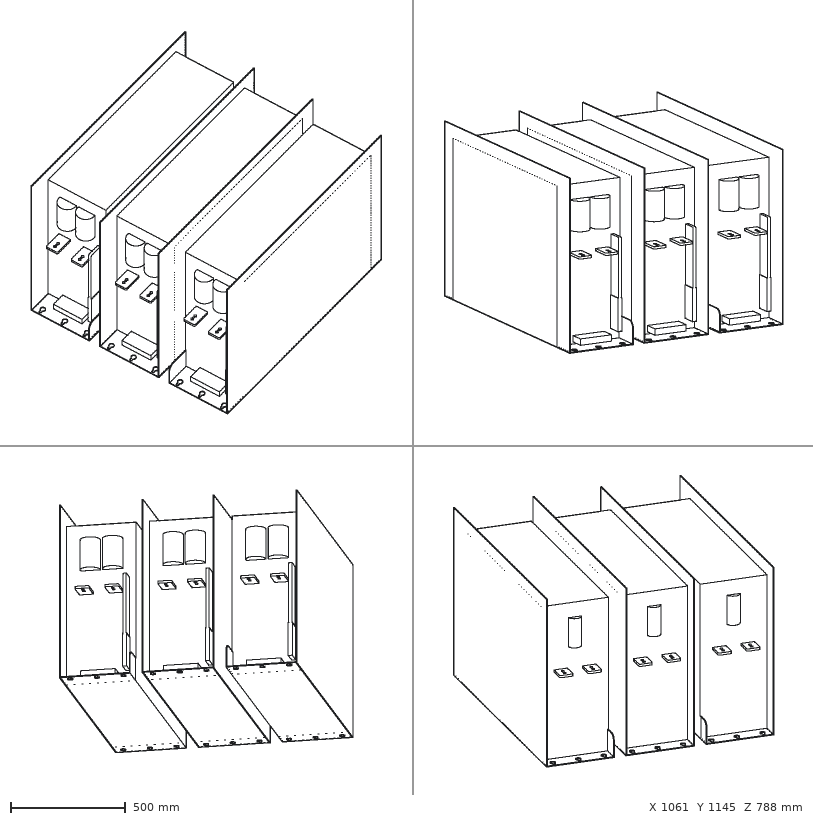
import cadquery as cq
length = 1145.0
panel_height = 788.0
panel_thickness = 5.0
module_width = 311.0
module_pitch = 370.0

half_length = length / 2
half_width = module_width / 2
floor_z = -panel_height / 2

housing_height = 726.0
housing_front_y = -450.0
housing_rear_y = 499.0

sheet = 4.0
flange_height = 105.0
flange_corner_radius = 30.0

keyhole_spacing = 119.0
keyhole_inset = 33.0
keyhole_diameter = 23.0
keyhole_slot_width = 10.0
keyhole_slot_reach = 25.0

capacitor_radius = 45.0
capacitor_offset = 2.0
capacitor_spacing = 100.0
capacitor_bottom = 519.0
capacitor_height = 137.0
capacitor_protrusion = 52.0
rear_post_radius = 33.0
rear_post_protrusion = 22.0

tab_spacing = 133.0
tab_width = 62.0
tab_top = 420.0
tab_thickness = 10.0
front_tab_reach = 96.0
rear_tab_reach = 72.0
tab_corner_radius = 7.0
tab_hole_diameter = 11.0
tab_hole_pitch = 23.0
tab_hole_inset = 24.0
tab_neck_width = 6.0

rail_x = 119.0
rail_reach = 69.0
bar_width = 14.0
bar_top = 476.0
bar_corner_radius = 7.0
foot_width = 18.0
foot_top = 203.0
foot_bottom = 52.0

connector_width = 155.0
connector_bottom = 14.0
connector_top = 42.0
connector_reach = 69.0


def block(x_range, y_range, z_range):
    """Box between two limits on each axis; the Z limits are heights above the floor's underside."""
    (x0, x1), (y0, y1), (z0, z1) = x_range, y_range, z_range
    return cq.Workplane("XY").box(x1 - x0, y1 - y0, z1 - z0, centered=False).translate((x0, y0, floor_z + z0))


def centred(middle, size):
    return (middle - size / 2, middle + size / 2)


def upright_cylinder(x, y, radius, bottom, height):
    return cq.Workplane("XY").center(x, y).circle(radius).extrude(height).translate((0, 0, floor_z + bottom))


def make_housing():
    return block((-half_width, half_width), (housing_front_y, housing_rear_y), (0, housing_height))


def make_floor():
    return block((-half_width, half_width), (-half_length, half_length), (0, sheet))


def make_flange(side):
    """Side flange along the whole floor, with its upper end corners rounded."""
    x_range = (-half_width, sheet - half_width) if side < 0 else (half_width - sheet, half_width)
    flange = block(x_range, (-half_length, half_length), (0, flange_height))
    return flange.edges("|X and >Z").fillet(flange_corner_radius)


def make_keyhole(x, end):
    """Cutter for a keyhole whose round-ended slot points to the floor's front (-1) or rear (+1)."""
    round_y = end * (half_length - keyhole_inset)
    slot_round_y = round_y + end * (keyhole_slot_reach - keyhole_slot_width / 2)
    round_part = upright_cylinder(x, round_y, keyhole_diameter / 2, 0, sheet)
    slot_end = upright_cylinder(x, slot_round_y, keyhole_slot_width / 2, 0, sheet)
    slot = block(centred(x, keyhole_slot_width), sorted((round_y, slot_round_y)), (0, sheet))
    return round_part.union(slot).union(slot_end)


def make_tab(x, end):
    """Flat terminal tab reaching out of the housing's front (-1) or rear (+1), with two joined holes."""
    root_y, reach = (housing_front_y, front_tab_reach) if end < 0 else (housing_rear_y, rear_tab_reach)
    tip_y = root_y + end * reach
    z_range = (tab_top - tab_thickness, tab_top)
    tab = block(centred(x, tab_width), sorted((root_y, tip_y)), z_range)
    tab = tab.edges("|Z").edges("<Y" if end < 0 else ">Y").fillet(tab_corner_radius)

    outer_hole_y = tip_y - end * tab_hole_inset
    inner_hole_y = outer_hole_y - end * tab_hole_pitch
    for hole_y in (outer_hole_y, inner_hole_y):
        tab = tab.cut(upright_cylinder(x, hole_y, tab_hole_diameter / 2, z_range[0], tab_thickness))
    return tab.cut(block(centred(x, tab_neck_width), sorted((outer_hole_y, inner_hole_y)), z_range))


def make_capacitors():
    y = housing_front_y - capacitor_protrusion + capacitor_radius
    left, right = (
        upright_cylinder(x, y, capacitor_radius, capacitor_bottom, capacitor_height)
        for x in centred(capacitor_offset, capacitor_spacing)
    )
    return left.union(right)


def make_rear_post():
    y = housing_rear_y + rear_post_protrusion - rear_post_radius
    return upright_cylinder(0, y, rear_post_radius, capacitor_bottom, capacitor_height)


def make_rail():
    y_range = (housing_front_y - rail_reach, housing_front_y)
    bar = block(centred(rail_x, bar_width), y_range, (foot_top, bar_top))
    bar = bar.edges("|X and >Z and <Y").fillet(bar_corner_radius)
    foot = block(centred(rail_x, foot_width), y_range, (foot_bottom, foot_top))
    return bar.union(foot)


def make_connector():
    y_range = (housing_front_y - connector_reach, housing_front_y)
    return block(centred(0, connector_width), y_range, (connector_bottom, connector_top))


def make_module(flange_sides):
    module = make_housing().union(make_floor())
    for side in flange_sides:
        module = module.union(make_flange(side))
    for end in (-1, 1):
        for x in (-keyhole_spacing, 0, keyhole_spacing):
            module = module.cut(make_keyhole(x, end))
        for x in (-tab_spacing / 2, tab_spacing / 2):
            module = module.union(make_tab(x, end))
    for fitting in (make_capacitors(), make_rear_post(), make_rail(), make_connector()):
        module = module.union(fitting)
    return module


def make_panel(inner_x, side):
    """Flat panel whose inner face lies against a module's side."""
    x_range = sorted((inner_x, inner_x + side * panel_thickness))
    return block(x_range, (-half_length, half_length), (0, panel_height))


left_module = make_module(flange_sides=[1]).translate((-module_pitch, 0, 0))
middle_module = make_module(flange_sides=[])
right_module = make_module(flange_sides=[-1]).translate((module_pitch, 0, 0))

panel_places = [
    (-module_pitch - half_width, -1),
    (-half_width, -1),
    (half_width, 1),
    (module_pitch + half_width, 1),
]
panels = [make_panel(inner_x, side).val() for inner_x, side in panel_places]

result = cq.Compound.makeCompound([left_module.val(), middle_module.val(), right_module.val(), *panels])